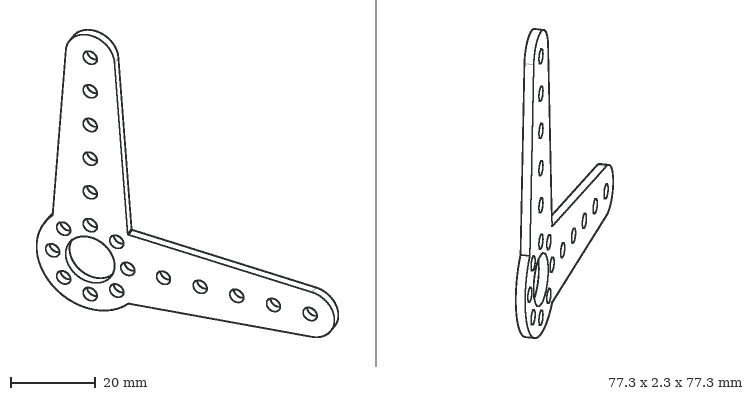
import cadquery as cq
import math

thickness = 2.3
hub_radius = 13.95
bore_radius = 6.35
tip_radius = 6.35
root_half_width = 9.75
hole_diameter = 3.6
ring_radius = 9.75
ring_hole_count = 8
hole_pitch = 9.5
first_arm_hole = 2
last_arm_hole = 6

arm_length = last_arm_hole * hole_pitch
root_distance = math.sqrt(hub_radius**2 - root_half_width**2)


def plate(sketch):
    """Extrude an XZ outline symmetrically about Y = 0."""
    return sketch.extrude(thickness / 2, both=True)


def make_arm():
    """Tapered arm along +X, from the hub rim to tangency with the round tip."""
    run = arm_length - root_distance
    reach = math.hypot(run, root_half_width)
    root_angle = math.atan2(root_half_width, -run)
    tangent_angle = root_angle - math.acos(tip_radius / reach)
    tangent_x = arm_length + tip_radius * math.cos(tangent_angle)
    tangent_z = tip_radius * math.sin(tangent_angle)
    outline = (
        cq.Workplane("XZ")
        .moveTo(0, 0)
        .lineTo(root_distance, root_half_width)
        .lineTo(tangent_x, tangent_z)
        .threePointArc((arm_length + tip_radius, 0), (tangent_x, -tangent_z))
        .lineTo(root_distance, -root_half_width)
        .close()
    )
    return plate(outline)


def make_body():
    """Round hub with one arm along +X and one along +Z."""
    hub = plate(cq.Workplane("XZ").circle(hub_radius))
    arm = make_arm()
    upright_arm = arm.rotate((0, 0, 0), (0, 1, 0), -90)
    return hub.union(arm).union(upright_arm)


def make_holes():
    """Hub bore, ring of holes around it, and a row of holes along each arm."""
    bore = plate(cq.Workplane("XZ").circle(bore_radius))
    ring = plate(
        cq.Workplane("XZ")
        .polarArray(ring_radius, 0, 360, ring_hole_count)
        .circle(hole_diameter / 2)
    )
    distances = [n * hole_pitch for n in range(first_arm_hole, last_arm_hole + 1)]
    centers = [(d, 0) for d in distances] + [(0, d) for d in distances]
    rows = plate(cq.Workplane("XZ").pushPoints(centers).circle(hole_diameter / 2))
    return bore, ring, rows


result = make_body()
for cutter in make_holes():
    result = result.cut(cutter)